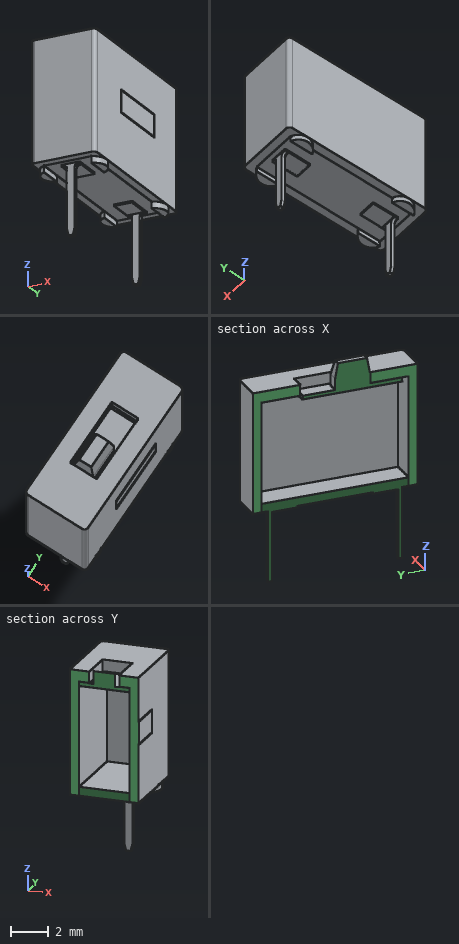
import cadquery as cq


housing_x = 3.95
housing_y = 9.65
housing_z = 7.2
corner_radius = 0.25
wall = 0.54
roof = 0.68
cavity_x = housing_x - 2 * wall
cavity_y = housing_y - 2 * wall
cavity_z = housing_z - roof

window_x = 1.7
window_y = 4.08

foot_radius = 0.79
foot_height = 0.38
foot_offset_y = 3.53

pad_thickness = 0.02
pad_y = 3.9
pad_z = 1.32
pad_center_y = 0.09
pad_center_z = 4.03

plate_thickness = 0.25
plate_gap = 0.14
neck_x = 1.25
neck_y = 2.05
knob_top_x = 0.77
knob_top_y = 1.72
knob_height = 0.88
neck_center_y = (neck_y - window_y) / 2
plate_end_y = window_y / 2 - plate_gap
plate_y = 2 * (plate_end_y - neck_center_y)

base_z = wall
pin_pitch = 7.62
pin_width = 0.48
pin_thickness = 0.25
pin_length = 4.2
tip_width = 0.27
tip_length = 0.39
flange_width = 1.08
flange_drop = 0.09
flange_inner_y = 2.2
pin_fillet = 0.2


def centered_box(size_x, size_y, size_z, bottom_z):
    """Box centred on the Z axis with its bottom face at bottom_z."""
    box = cq.Workplane("XY").box(size_x, size_y, size_z, centered=(True, True, False))
    return box.translate((0, 0, bottom_z))


def make_foot(side_x, center_y):
    """Disc tangent to the outer wall face on one side, trimmed to the wall thickness."""
    disc_x = side_x * (housing_x / 2 - foot_radius)
    disc = (
        cq.Workplane("XY")
        .center(disc_x, center_y)
        .circle(foot_radius)
        .extrude(-foot_height)
    )
    wall_strip = centered_box(wall, housing_y, foot_height, -foot_height)
    return disc.intersect(wall_strip.translate((side_x * (housing_x - wall) / 2, 0, 0)))


def make_housing():
    shell = centered_box(housing_x, housing_y, housing_z, 0)
    shell = shell.edges("|Z").fillet(corner_radius)
    shell = shell.cut(centered_box(cavity_x, cavity_y, cavity_z, 0))
    shell = shell.cut(centered_box(window_x, window_y, roof, cavity_z))
    for side_x in (-1, 1):
        for side_y in (-1, 1):
            shell = shell.union(make_foot(side_x, side_y * foot_offset_y))
    pad_depth = pad_thickness + wall / 2
    pad = cq.Workplane("XY").box(pad_depth, pad_y, pad_z)
    pad_center_x = housing_x / 2 + pad_thickness - pad_depth / 2
    return shell.union(pad.translate((pad_center_x, pad_center_y, pad_center_z)))


def make_slider():
    plate = centered_box(cavity_x, plate_y, plate_thickness, cavity_z - plate_thickness)
    neck = centered_box(neck_x, neck_y, roof, cavity_z)
    knob = (
        cq.Workplane("XY", origin=(0, 0, housing_z))
        .rect(neck_x, neck_y)
        .workplane(offset=knob_height)
        .rect(knob_top_x, knob_top_y)
        .loft(ruled=True)
    )
    return plate.union(neck).union(knob).translate((0, neck_center_y, 0))


def make_terminal(side_y):
    """Pin with a pointed tip, flared into a flat flange that runs inward along Y."""
    half_pin = pin_width / 2
    blade = (
        cq.Workplane("XZ")
        .moveTo(-flange_width / 2, 0)
        .lineTo(-flange_width / 2, -flange_drop)
        .lineTo(-half_pin - pin_fillet, -flange_drop)
        .radiusArc((-half_pin, -flange_drop - pin_fillet), pin_fillet)
        .lineTo(-half_pin, tip_length - pin_length)
        .lineTo(-tip_width / 2, -pin_length)
        .lineTo(tip_width / 2, -pin_length)
        .lineTo(half_pin, tip_length - pin_length)
        .lineTo(half_pin, -flange_drop - pin_fillet)
        .radiusArc((half_pin + pin_fillet, -flange_drop), pin_fillet)
        .lineTo(flange_width / 2, -flange_drop)
        .lineTo(flange_width / 2, 0)
        .close()
        .extrude(pin_thickness / 2, both=True)
        .translate((0, side_y * pin_pitch / 2, 0))
    )
    flange_y = pin_pitch / 2 - flange_inner_y
    flange = centered_box(flange_width, flange_y, flange_drop, -flange_drop)
    flange_center_y = flange_inner_y + flange_y / 2
    return blade.union(flange.translate((0, side_y * flange_center_y, 0)))


def make_base():
    base = centered_box(cavity_x, cavity_y, base_z, 0)
    for side_y in (-1, 1):
        base = base.union(make_terminal(side_y))
    return base


housing = make_housing()
slider = make_slider()
base = make_base()

result = cq.Compound.makeCompound([body.solids().val() for body in (housing, slider, base)])